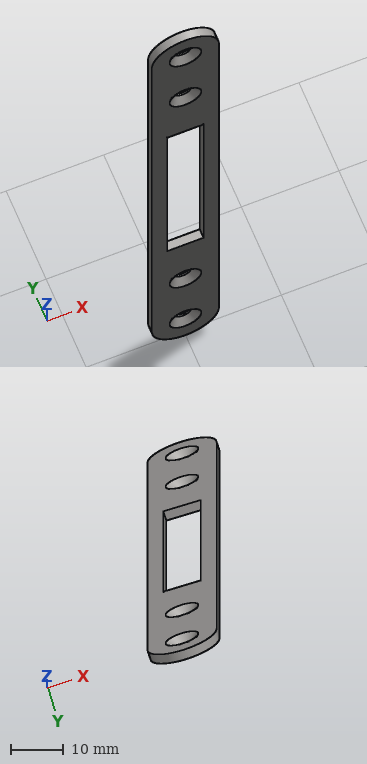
import cadquery as cq

plate_length = 130.0
plate_width = 13.8
plate_thickness = 2.0

window_width = 7.4
window_length = 49.9

hole_diameter = 3.5
countersink_diameter = 6.5
countersink_angle = 90.0
outer_hole_height = 57.6
inner_hole_height = 39.9
hole_centers = [
    (0, side * height)
    for side in (1, -1)
    for height in (inner_hole_height, outer_hole_height)
]


def rounded_plate():
    """Flat bar with full-radius ends, centred on the origin."""
    upright_angle = 90
    return (
        cq.Workplane("XZ", origin=(0, plate_thickness / 2, 0))
        .slot2D(plate_length, plate_width, upright_angle)
        .extrude(plate_thickness)
    )


def front_face(plate):
    """Workplane on the front face, centred on the plate."""
    return plate.faces("<Y").workplane(origin=(0, 0, 0))


def cut_window(plate):
    """Rectangular opening through the middle of the plate."""
    return front_face(plate).rect(window_width, window_length).cutThruAll()


def cut_screw_holes(plate):
    """Through holes countersunk from the front face."""
    return (
        front_face(plate)
        .pushPoints(hole_centers)
        .cskHole(hole_diameter, countersink_diameter, countersink_angle)
    )


result = cut_screw_holes(cut_window(rounded_plate()))